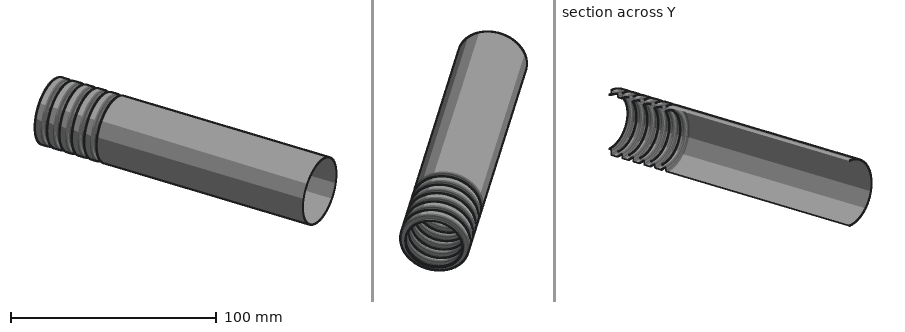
import cadquery as cq

length = 150.0
outer_diameter = 34.5
neck_diameter = 28.8
wall = 0.38

ridge_count = 5
ridge_width = 4.5
end_lip = 1.0
body_start = 35.2
ridge_pitch = (body_start - end_lip) / ridge_count

bend_inside_radius = 0.22
bend_outside_radius = bend_inside_radius + wall

outer_radius = outer_diameter / 2
neck_radius = neck_diameter / 2


def ring(start, end, radius):
    """Solid cylinder about the X axis between two stations."""
    return cq.Workplane("YZ", origin=(start, 0, 0)).circle(radius).extrude(end - start)


def corrugated_solid(inset, crest_rounding, root_rounding):
    """Solid tube envelope, with every surface moved inward by the inset."""
    crest_radius = outer_radius - inset
    root_radius = neck_radius - inset
    solid = ring(0, body_start + inset, root_radius)
    for index in range(ridge_count):
        start = end_lip + index * ridge_pitch
        ridge = ring(start + inset, start + ridge_width - inset, crest_radius)
        solid = solid.union(ridge.edges("%CIRCLE").fillet(crest_rounding))
    body = ring(body_start + inset, length, crest_radius)
    solid = solid.union(body.edges("<X").fillet(crest_rounding))

    roots = solid.edges("%CIRCLE").filter(
        lambda edge: abs(edge.radius() - root_radius) < wall / 10 and edge.Center().x > wall
    )
    return roots.fillet(root_rounding)


outside = corrugated_solid(0, bend_outside_radius, bend_inside_radius)
inside = corrugated_solid(wall, bend_inside_radius, bend_outside_radius)
result = outside.cut(inside)